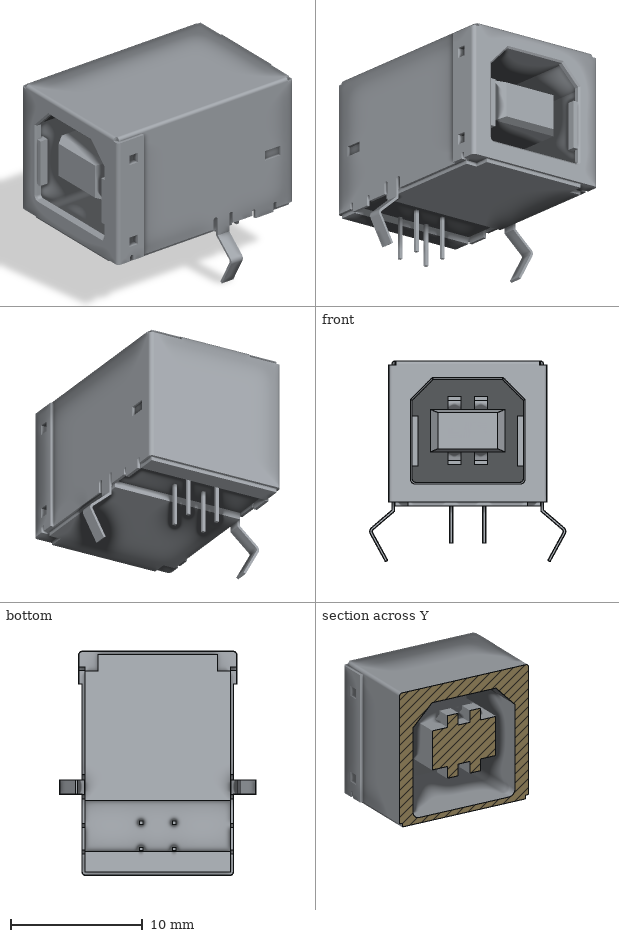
import cadquery as cq
import math


length = 17.0
shell_width = 11.5
shell_height = 11.0
sheet = 0.25
y_front = -length / 2
y_back = length / 2
half_width = shell_width / 2

shell_bottom = 0.3
top_bend_radius = 0.25
wrap_bend_radius = 0.3
wrap_top = shell_height - 0.3
flap_length = 2.5
front_bend_width = 10.9
back_flap_width = 6.0
side_bend_front_gap = 0.3
side_bend_back_gap = 0.55

flap_window_size = 0.8
flap_window_from_front = 1.5
flap_window_heights = (1.95, 8.95)
rear_window_length = 1.45
rear_window_height = 0.8
rear_window_from_front = 15.0
rear_window_mid_height = 5.05

clip_from_front = 10.3
clip_width = 1.1
clip_rear_slot_width = 0.34
clip_front_slot_width = 0.42
clip_slot_top = 1.28
tab_slot_width = 0.3
tab_slot_top = 0.8
rear_tab_from_front = (13.2, 15.22)
front_slot_from_front = 1.33

clip_thickness = 0.2
clip_knee_z = -0.31
clip_bend_x = 7.535
clip_bend_z = -1.84
clip_tip_x = 6.24
clip_tip_z = -4.22
clip_bend_radius = 0.39

front_corner_notch_length = 1.25
front_foot_width = 9.05
pin_recess_from_front = (11.3, 15.17)
pin_recess_height = 0.55

mouth_width = 8.7
mouth_bottom = 1.66
mouth_top = 9.74
mouth_corner_cut = 1.67
mouth_radius = 0.4
mouth_chamfer = 0.14
mouth_chamfer_angle = 45
lip_depth = 0.5
chamber_width = 9.0
chamber_bottom = 0.5
chamber_floor_radius = 0.5
cavity_depth = 9.5

rib_inner_x = 3.78
rib_bottom = 3.03
rib_top = 6.83
rib_length = 0.66
tongue_width = 5.66
tongue_bottom = 4.1
tongue_top = 7.33
tongue_recess = 0.7
tongue_nose_length = 0.72
tongue_nose_inset_x = 0.56
tongue_nose_inset_z = 0.24
contact_pitch = 2.0
contact_width = 1.0
contact_ramp_rise = 0.66
upper_ramp_run = 0.66
lower_ramp_run = 0.3
contact_step = 0.3
contact_recess = 6.0

pin_thickness = 0.25
pin_spacing = 2.5
pin_bottom = -2.81
pins_from_front = (13.0, 15.0)


def block(x_range, y_range, z_range):
    """Axis-aligned box between pairs of limits."""
    size = [high - low for low, high in (x_range, y_range, z_range)]
    corner = (x_range[0], y_range[0], z_range[0])
    return cq.Workplane("XY").box(*size, centered=False).translate(corner)


def centred_block(width, y_range, z_range):
    """Box symmetric about X = 0."""
    return block((-width / 2, width / 2), y_range, z_range)


def on_both_sides(body):
    """The body together with its mirror image across X = 0."""
    return body.union(body.mirror("YZ"))


def make_shell_inside():
    """Space enclosed by the sheet metal, open at the bottom."""
    return centred_block(
        shell_width - 2 * sheet, (y_front + sheet, y_back - sheet), (0, shell_height - sheet)
    )


def make_shell():
    """Outer envelope of the folded shell."""
    hood = centred_block(
        shell_width,
        (y_front + side_bend_front_gap, y_back - side_bend_back_gap),
        (shell_bottom, shell_height),
    )
    hood = hood.edges("|Y and >Z").fillet(top_bend_radius)

    sides = centred_block(shell_width, (y_front + sheet, y_back), (shell_bottom, wrap_top))
    sides = sides.edges("|Z and >Y").fillet(wrap_bend_radius)

    flaps = centred_block(
        shell_width + 2 * sheet, (y_front, y_front + flap_length), (shell_bottom, wrap_top)
    )
    flaps = flaps.edges("|Z and <Y").fillet(wrap_bend_radius)

    front_bend = centred_block(front_bend_width, (y_front, 0), (shell_bottom, shell_height))
    front_bend = front_bend.edges("|X and >Z and <Y").fillet(top_bend_radius)

    back_flap = centred_block(back_flap_width, (0, y_back), (shell_bottom, shell_height))
    back_flap = back_flap.edges("|X and >Z and >Y").fillet(top_bend_radius)

    top = centred_block(
        shell_width - 2 * sheet, (y_front + sheet, y_back - sheet), (wrap_top, shell_height)
    )
    return hood.union(sides).union(flaps).union(front_bend).union(back_flap).union(top)


def make_side_tab():
    """Part of each side wall between the rear slots, reaching the underside."""
    low, high = rear_tab_from_front
    return on_both_sides(
        block(
            (half_width - sheet, half_width),
            (y_front + low + tab_slot_width / 2, y_front + high - tab_slot_width / 2),
            (0, tab_slot_top),
        )
    )


def make_housing():
    """Plastic base showing below the shell, relieved for the pins and front corners."""
    housing = make_shell_inside()
    recess_start, recess_end = pin_recess_from_front
    pin_recess = centred_block(
        shell_width, (y_front + recess_start, y_front + recess_end), (0, pin_recess_height)
    )
    corner_notch = block(
        (front_foot_width / 2, half_width),
        (y_front + sheet, y_front + sheet + front_corner_notch_length),
        (0, shell_bottom),
    )
    return housing.cut(pin_recess).cut(on_both_sides(corner_notch))


def edge_slot(from_front, width, top, outer_x):
    """Round-topped slot through one side wall, open at the bottom."""
    y = y_front + from_front
    radius = width / 2
    x_inner = half_width - sheet
    depth = outer_x - x_inner
    slot = (
        cq.Workplane("YZ", origin=(x_inner, 0, 0))
        .moveTo(y - radius, 0)
        .lineTo(y - radius, top - radius)
        .threePointArc((y, top), (y + radius, top - radius))
        .lineTo(y + radius, 0)
        .close()
        .extrude(depth)
    )
    return on_both_sides(slot)


def cut_side_openings(body):
    """Windows and lower-edge slots in the side walls and front flaps."""
    flap_outer_x = half_width + sheet
    for height in flap_window_heights:
        y = y_front + flap_window_from_front
        half = flap_window_size / 2
        window = block(
            (half_width - sheet, flap_outer_x), (y - half, y + half), (height - half, height + half)
        )
        body = body.cut(on_both_sides(window))

    y = y_front + rear_window_from_front
    z = rear_window_mid_height
    window = block(
        (half_width - sheet, half_width),
        (y - rear_window_length / 2, y + rear_window_length / 2),
        (z - rear_window_height / 2, z + rear_window_height / 2),
    )
    body = body.cut(on_both_sides(window))

    rear_slot_y = clip_from_front + (clip_width + clip_rear_slot_width) / 2
    front_slot_y = clip_from_front - (clip_width + clip_front_slot_width) / 2
    body = body.cut(edge_slot(rear_slot_y, clip_rear_slot_width, clip_slot_top, half_width))
    body = body.cut(edge_slot(front_slot_y, clip_front_slot_width, clip_slot_top, half_width))
    for slot_y in rear_tab_from_front:
        body = body.cut(edge_slot(slot_y, tab_slot_width, tab_slot_top, half_width))
    return body.cut(edge_slot(front_slot_from_front, tab_slot_width, tab_slot_top, flap_outer_x))


def inset_path(points, distance):
    """Mitred copy of an open (x, z) path, shifted to the right of its direction."""
    normals = []
    for (x0, z0), (x1, z1) in zip(points, points[1:]):
        run = math.hypot(x1 - x0, z1 - z0)
        normals.append(((z1 - z0) / run, (x0 - x1) / run))
    befores = [normals[0]] + normals
    afters = normals + [normals[-1]]
    shifted = []
    for (x, z), (bx, bz), (ax, az) in zip(points, befores, afters):
        stretch = distance / (1 + bx * ax + bz * az)
        shifted.append((x + (bx + ax) * stretch, z + (bz + az) * stretch))
    return shifted


def make_clips():
    """Bent spring legs continuing the side walls below the housing."""
    outer = [
        (half_width, clip_slot_top),
        (half_width, clip_knee_z),
        (clip_bend_x, clip_bend_z),
        (clip_tip_x, clip_tip_z),
    ]
    inner = inset_path(outer, clip_thickness)
    y_start = y_front + clip_from_front - clip_width / 2
    clip = (
        cq.Workplane("XZ", origin=(0, y_start, 0))
        .polyline(outer + inner[::-1])
        .close()
        .extrude(-clip_width)
    )
    clip = clip.edges("|Y and >X").fillet(clip_bend_radius)
    inner_bend_x, inner_bend_z = inner[2]
    inner_bend_point = (inner_bend_x, y_start + clip_width / 2, inner_bend_z)
    bend_inside = cq.selectors.NearestToPointSelector(inner_bend_point)
    clip = clip.edges(bend_inside).fillet(clip_bend_radius - clip_thickness)
    return on_both_sides(clip)


def mating_outline(depth, width, bottom, top, corner_cut, radius):
    """Outline with cut upper and rounded lower corners, at a depth behind the front."""
    half = width / 2
    arc_inset = radius * (1 - math.sqrt(0.5))
    return (
        cq.Workplane("XZ", origin=(0, y_front + depth, 0))
        .moveTo(radius - half, bottom)
        .lineTo(half - radius, bottom)
        .threePointArc((half - arc_inset, bottom + arc_inset), (half, bottom + radius))
        .lineTo(half, top - corner_cut)
        .lineTo(half - corner_cut, top)
        .lineTo(corner_cut - half, top)
        .lineTo(-half, top - corner_cut)
        .lineTo(-half, bottom + radius)
        .threePointArc((arc_inset - half, bottom + arc_inset), (radius - half, bottom))
        .close()
    )


def make_cavity():
    """Chamfered mouth, straight lip, and the wider chamber behind it."""
    mouth = mating_outline(
        0, mouth_width, mouth_bottom, mouth_top, mouth_corner_cut, mouth_radius
    ).extrude(-mouth_chamfer, taper=mouth_chamfer_angle)
    cut_shrink = 2 - math.sqrt(2)
    lip_top = mouth_top - mouth_chamfer
    lip = mating_outline(
        mouth_chamfer,
        mouth_width - 2 * mouth_chamfer,
        mouth_bottom + mouth_chamfer,
        lip_top,
        mouth_corner_cut - cut_shrink * mouth_chamfer,
        mouth_radius - mouth_chamfer,
    ).extrude(mouth_chamfer - lip_depth)
    chamber = mating_outline(
        lip_depth, chamber_width, chamber_bottom, lip_top, mouth_corner_cut, chamber_floor_radius
    ).extrude(lip_depth - cavity_depth)
    return mouth.union(lip).union(chamber)


def make_ribs():
    """Upright guide ribs just inside the mouth."""
    start = y_front + mouth_chamfer
    return on_both_sides(
        block((rib_inner_x, chamber_width / 2), (start, start + rib_length), (rib_bottom, rib_top))
    )


def make_tongue():
    """Contact carrier with a tapered nose."""
    height = tongue_top - tongue_bottom
    middle = (tongue_top + tongue_bottom) / 2
    nose_start = y_front + tongue_recess
    nose_end = nose_start + tongue_nose_length
    bar = centred_block(tongue_width, (nose_end, y_front + cavity_depth), (tongue_bottom, tongue_top))
    nose = (
        cq.Workplane("XZ", origin=(0, nose_end, middle))
        .rect(tongue_width, height)
        .workplane(offset=tongue_nose_length)
        .rect(tongue_width - 2 * tongue_nose_inset_x, height - 2 * tongue_nose_inset_z)
        .loft(combine=True)
    )
    return bar.union(nose)


def contact_strip(x_centre, base, up, ramp_run):
    """Contact rising from a tongue face at height base; up is +1 or -1."""
    y_start = y_front + contact_recess
    y_end = y_front + cavity_depth
    ramp_end = y_start + ramp_run
    ramp_z = base + up * contact_ramp_rise
    crest_z = ramp_z + up * contact_step
    return (
        cq.Workplane("YZ", origin=(x_centre - contact_width / 2, 0, 0))
        .moveTo(y_start, base)
        .lineTo(ramp_end, ramp_z)
        .lineTo(ramp_end, crest_z)
        .lineTo(y_end, crest_z)
        .lineTo(y_end, base)
        .close()
        .extrude(contact_width)
    )


def make_contacts():
    """Ramped contacts, two above and two below the tongue."""
    x = contact_pitch / 2
    upper = contact_strip(x, tongue_top, 1, upper_ramp_run)
    lower = contact_strip(x, tongue_bottom, -1, lower_ramp_run)
    return on_both_sides(upper).union(on_both_sides(lower))


def make_pins():
    """Four square solder pins."""
    pins = cq.Workplane("XY")
    half = pin_thickness / 2
    for from_front in pins_from_front:
        y = y_front + from_front
        pin = block(
            (pin_spacing / 2 - half, pin_spacing / 2 + half),
            (y - half, y + half),
            (pin_bottom, pin_recess_height),
        )
        pins = pins.union(on_both_sides(pin))
    return pins


housing = make_housing()
body = cut_side_openings(make_shell().cut(make_shell_inside()))
body = body.union(housing).union(make_side_tab())
body = body.cut(make_cavity())
body = body.union(make_ribs()).union(make_tongue()).union(make_contacts())
result = body.union(make_pins()).union(make_clips())